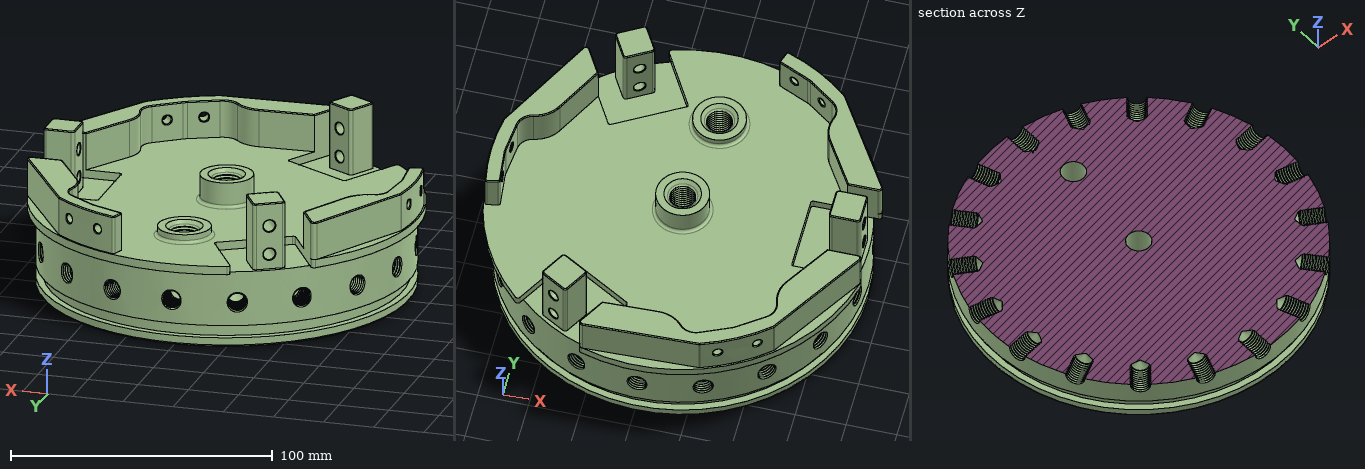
import cadquery as cq
import math

BODY_RADIUS = 145.97 / 2
GROOVE_RADIUS = 140.41 / 2
BASE_LIP_TOP = 3.81
GROOVE_TOP = 8.76
BODY_TOP = 30.56
BASE_CHAMFER = 0.9

FLANGE_RADIUS = 76.2
FLANGE_TOP = 33.86
SLOT_ANGLES = (0, 120, 240)
SLOT_HALF_WIDTH = 15.875
SLOT_INNER = 46.6
SLOT_CORNER_RADIUS = 1.0
FLANGE_CORNER_RADIUS = 1.2

POST_WIDTH = 12.7
POST_DEPTH = 12.4
POST_OUTER = 71.3
POST_TOP = 57.12
POST_CORNER_RADIUS = 1.27
POST_HOLE_DIAMETER = 4.57
POST_HOLE_MOUTH = 5.1
POST_HOLE_HEIGHTS = (36.5, 47.9)

SINGLE_WALL_ANGLES = (60, 180)
DOUBLE_WALL_ANGLE = -60
WALL_TOP = 48.86
WALL_OUTER_RADIUS = 75.5
WALL_FACET_APOTHEM = 69.3
WALL_FACET_ANGLE = 6
WALL_END_ANGLE = 2 * WALL_FACET_ANGLE
WALL_KINK_TO_SLOT = 60
WALL_FLAT_ANGLE = 28
WALL_FLAT_OUTER = 72.33
WALL_FLAT_INNER = 60.0
WALL_BEND_START = 3.1
WALL_CONVEX_RADIUS = 12.7
WALL_CONCAVE_RADIUS = 6.35
WALL_SHOULDER_RADIUS = 1.2
WALL_KINK_RADIUS = 8.0
WALL_END_RADIUS = 0.8
WALL_TIP_RADIUS = 1.45
WALL_HOLE_DIAMETER = 3.45
WALL_HOLE_MOUTH = 4.17
WALL_HOLE_HEIGHT = 42.3
EDGE_CHAMFER = 0.4

SIDE_HOLE_COUNT = 18
SIDE_HOLE_START = -90
SIDE_HOLE_HEIGHT = 18.2
SIDE_HOLE_MINOR = 6.91
SIDE_HOLE_MAJOR = 7.94
SIDE_HOLE_PITCH = 1.06
SIDE_HOLE_TURNS = 9
SIDE_HOLE_DEPTH = 10.4
DRILL_POINT_ANGLE = 118

BOSSES = ((0, 0, 10.16), (3.9, 42.9, 3.56))
BOSS_RADIUS = 20.62 / 2
BOSS_BASE_FILLET = 1.27
BORE_MINOR = 9.9
BORE_MAJOR = 11.53
BORE_PITCH = 1.27
BORE_TURNS = 12
BORE_MOUTH = 14.3

OVERRUN = 1.0


def polar(radius, degrees):
    angle = math.radians(degrees)
    return cq.Vector(radius * math.cos(angle), radius * math.sin(angle), 0)


def crossing(distance_a, angle_a, distance_b, angle_b):
    """Meeting point of two lines, each given by its distance from the axis and its normal's angle."""
    a = math.radians(angle_a)
    b = math.radians(angle_b)
    turn = math.sin(b - a)
    x = (distance_a * math.sin(b) - distance_b * math.sin(a)) / turn
    y = (distance_b * math.cos(a) - distance_a * math.cos(b)) / turn
    return cq.Vector(x, y, 0)


def turned(solid, angle):
    return solid.rotate((0, 0, 0), (0, 0, 1), angle)


def mirrored(point):
    return cq.Vector(point.x, -point.y, 0)


def plan(point):
    """The X and Y of a point."""
    return (point.x, point.y)


def cylinder(radius, bottom, top):
    return cq.Workplane("XY").workplane(offset=bottom).circle(radius).extrude(top - bottom)


def vertical_edges_near(solid, point):
    """The vertical edges of a solid that stand at the given point."""
    tolerance = 0.01
    low = (point.x - tolerance, point.y - tolerance, -OVERRUN)
    high = (point.x + tolerance, point.y + tolerance, POST_TOP + OVERRUN)
    return solid.edges("|Z").edges(cq.selectors.BoxSelector(low, high))


def threaded_cutter(minor, major, pitch, turns, mouth, bottom_points):
    """Cutter pointing down from z = 0: a tapered mouth, ring-shaped grooves, then the bottom points."""
    mouth_depth = (mouth - major) / 2
    points = [(0, OVERRUN), (mouth / 2, OVERRUN), (mouth / 2, 0)]
    if mouth_depth > 0:
        points.append((major / 2, -mouth_depth))
    for turn in range(turns):
        start = mouth_depth + turn * pitch
        points.append((minor / 2, -start - pitch / 2))
        points.append((major / 2, -start - pitch))
    thread_end = mouth_depth + turns * pitch
    points.append((minor / 2, -thread_end - pitch / 2))
    points.extend(bottom_points)
    return cq.Workplane("XZ").polyline(points).close().revolve(360, (0, 0, 0), (0, 1, 0))


def radial_hole(inner, outer, diameter, mouth):
    """Cutter along the +X axis for a through hole countersunk at both ends."""
    sink = (mouth - diameter) / 2
    flare = mouth / 2 + OVERRUN
    profile = [
        (inner - OVERRUN, 0),
        (inner - OVERRUN, flare),
        (inner + sink, diameter / 2),
        (outer - sink, diameter / 2),
        (outer + OVERRUN, flare),
        (outer + OVERRUN, 0),
    ]
    return cq.Workplane("XZ").polyline(profile).close().revolve(360, (0, 0, 0), (1, 0, 0))


def make_drum():
    drum = cylinder(BODY_RADIUS, 0, BODY_TOP).faces("<Z").chamfer(BASE_CHAMFER)
    groove = cylinder(BODY_RADIUS + OVERRUN, BASE_LIP_TOP, GROOVE_TOP)
    return drum.cut(groove.cut(cylinder(GROOVE_RADIUS, BASE_LIP_TOP, GROOVE_TOP)))


def make_flange():
    flange = cylinder(FLANGE_RADIUS, BODY_TOP, FLANGE_TOP)
    slot_length = FLANGE_RADIUS + OVERRUN - SLOT_INNER
    slot = (
        cq.Workplane("XY", origin=(SLOT_INNER + slot_length / 2, 0, BODY_TOP))
        .rect(slot_length, 2 * SLOT_HALF_WIDTH)
        .extrude(FLANGE_TOP - BODY_TOP)
        .edges("|Z and <X")
        .fillet(SLOT_CORNER_RADIUS)
    )
    for angle in SLOT_ANGLES:
        flange = flange.cut(turned(slot, angle))
    corner_angle = math.degrees(math.asin(SLOT_HALF_WIDTH / FLANGE_RADIUS))
    for angle in SLOT_ANGLES:
        for side in (-1, 1):
            corner = polar(FLANGE_RADIUS, angle + side * corner_angle)
            flange = vertical_edges_near(flange, corner).fillet(FLANGE_CORNER_RADIUS)
    return flange


def make_post():
    post = (
        cq.Workplane("XY", origin=(POST_OUTER - POST_DEPTH / 2, 0, BODY_TOP))
        .rect(POST_DEPTH, POST_WIDTH)
        .extrude(POST_TOP - BODY_TOP)
        .edges("|Z")
        .fillet(POST_CORNER_RADIUS)
        .faces(">Z")
        .chamfer(EDGE_CHAMFER)
    )
    for height in POST_HOLE_HEIGHTS:
        hole = radial_hole(POST_OUTER - POST_DEPTH, POST_OUTER, POST_HOLE_DIAMETER, POST_HOLE_MOUTH)
        post = post.cut(hole.translate((0, 0, height)))
    return post


def wall_side_corners():
    """Outline points of a wall's flat-sided half, clockwise of a kink that lies on the +X axis."""
    slot_face = (SLOT_HALF_WIDTH, 90 - WALL_KINK_TO_SLOT)
    shoulder_angle = math.degrees(math.acos(WALL_FLAT_OUTER / WALL_OUTER_RADIUS)) - WALL_FLAT_ANGLE
    shoulder = polar(WALL_OUTER_RADIUS, shoulder_angle)
    outer_tip = crossing(WALL_FLAT_OUTER, -WALL_FLAT_ANGLE, *slot_face)
    inner_tip = crossing(WALL_FLAT_INNER, -WALL_FLAT_ANGLE, *slot_face)

    flat_normal = polar(1, -WALL_FLAT_ANGLE)
    flat_direction = polar(1, 90 - WALL_FLAT_ANGLE)
    facet_normal = polar(1, -WALL_FACET_ANGLE)
    facet_direction = polar(1, 90 - WALL_FACET_ANGLE)
    convex_start = flat_normal * WALL_FLAT_INNER + flat_direction * WALL_BEND_START
    convex_centre = convex_start + flat_normal * WALL_CONVEX_RADIUS
    centre_distance = WALL_CONVEX_RADIUS + WALL_CONCAVE_RADIUS
    centre_drop = convex_centre.dot(facet_normal) - (WALL_FACET_APOTHEM - WALL_CONCAVE_RADIUS)
    centre_advance = math.sqrt(centre_distance**2 - centre_drop**2)
    concave_centre = convex_centre - facet_normal * centre_drop + facet_direction * centre_advance
    arcs_meet = convex_centre + (concave_centre - convex_centre) * (WALL_CONVEX_RADIUS / centre_distance)
    concave_end = concave_centre + facet_normal * WALL_CONCAVE_RADIUS

    return shoulder, outer_tip, inner_tip, convex_start, arcs_meet, concave_end


def make_wall(double):
    """A wall with its kink on the +X axis: flat-sided on both halves, or ending soon after the kink."""
    shoulder, outer_tip, inner_tip, convex_start, arcs_meet, concave_end = wall_side_corners()
    kink = polar(WALL_FACET_APOTHEM / math.cos(math.radians(WALL_FACET_ANGLE)), 0)
    end_inner = polar(kink.Length, WALL_END_ANGLE)
    end_outer = polar(WALL_OUTER_RADIUS, WALL_END_ANGLE)
    far_shoulder = mirrored(shoulder) if double else end_outer

    outline = (
        cq.Workplane("XY", origin=(0, 0, FLANGE_TOP))
        .moveTo(*plan(far_shoulder))
        .threePointArc((WALL_OUTER_RADIUS, 0), plan(shoulder))
        .lineTo(*plan(outer_tip))
        .lineTo(*plan(inner_tip))
        .lineTo(*plan(convex_start))
        .tangentArcPoint(plan(arcs_meet), relative=False)
        .tangentArcPoint(plan(concave_end), relative=False)
        .lineTo(*plan(kink))
    )
    rounds = [(kink, WALL_KINK_RADIUS), (outer_tip, WALL_TIP_RADIUS), (shoulder, WALL_SHOULDER_RADIUS)]
    if double:
        outline = (
            outline.lineTo(*plan(mirrored(concave_end)))
            .tangentArcPoint(plan(mirrored(arcs_meet)), relative=False)
            .tangentArcPoint(plan(mirrored(convex_start)), relative=False)
            .lineTo(*plan(mirrored(inner_tip)))
            .lineTo(*plan(mirrored(outer_tip)))
        )
        rounds += [(mirrored(outer_tip), WALL_TIP_RADIUS), (mirrored(shoulder), WALL_SHOULDER_RADIUS)]
    else:
        outline = outline.lineTo(*plan(end_inner))
        rounds += [(end_inner, WALL_END_RADIUS), (end_outer, WALL_END_RADIUS)]

    wall = outline.close().extrude(WALL_TOP - FLANGE_TOP)
    hole = radial_hole(WALL_FACET_APOTHEM, WALL_OUTER_RADIUS, WALL_HOLE_DIAMETER, WALL_HOLE_MOUTH)
    hole = hole.translate((0, 0, WALL_HOLE_HEIGHT))
    for angle in (-WALL_FACET_ANGLE, WALL_FACET_ANGLE):
        wall = wall.cut(turned(hole, angle))
    for corner, radius in rounds:
        wall = vertical_edges_near(wall, corner).fillet(radius)
    return wall.faces(">Z").chamfer(EDGE_CHAMFER)


def make_boss(x, y, height):
    top = FLANGE_TOP + height
    boss = cylinder(BOSS_RADIUS, FLANGE_TOP, top)
    collar = cylinder(BOSS_RADIUS + BOSS_BASE_FILLET, FLANGE_TOP, FLANGE_TOP + BOSS_BASE_FILLET)
    cove = cq.Solid.makeTorus(
        BOSS_RADIUS + BOSS_BASE_FILLET,
        BOSS_BASE_FILLET,
        cq.Vector(0, 0, FLANGE_TOP + BOSS_BASE_FILLET),
    )
    return boss.union(collar.cut(cq.Workplane(cove))).translate((x, y, 0))


def make_bore(x, y, height):
    top = FLANGE_TOP + height
    bottom_points = [(BORE_MINOR / 2, -top - OVERRUN), (0, -top - OVERRUN)]
    cutter = threaded_cutter(BORE_MINOR, BORE_MAJOR, BORE_PITCH, BORE_TURNS, BORE_MOUTH, bottom_points)
    return cutter.translate((x, y, top))


def make_side_hole():
    """Radial threaded blind hole in the drum's side on the +X axis."""
    point_length = SIDE_HOLE_MINOR / 2 / math.tan(math.radians(DRILL_POINT_ANGLE / 2))
    bottom_points = [(SIDE_HOLE_MINOR / 2, -SIDE_HOLE_DEPTH), (0, -SIDE_HOLE_DEPTH - point_length)]
    cutter = threaded_cutter(
        SIDE_HOLE_MINOR, SIDE_HOLE_MAJOR, SIDE_HOLE_PITCH, SIDE_HOLE_TURNS, SIDE_HOLE_MAJOR, bottom_points
    )
    return cutter.rotate((0, 0, 0), (0, 1, 0), 90).translate((BODY_RADIUS, 0, SIDE_HOLE_HEIGHT))


drum = make_drum()
side_hole = make_side_hole()
for index in range(SIDE_HOLE_COUNT):
    drum = drum.cut(turned(side_hole, SIDE_HOLE_START + index * 360 / SIDE_HOLE_COUNT))

part = drum.union(make_flange())

post = make_post()
for slot_angle in SLOT_ANGLES:
    part = part.union(turned(post, slot_angle))

single_wall = make_wall(double=False)
for wall_angle in SINGLE_WALL_ANGLES:
    part = part.union(turned(single_wall, wall_angle))
part = part.union(turned(make_wall(double=True), DOUBLE_WALL_ANGLE))

for boss in BOSSES:
    part = part.union(make_boss(*boss)).cut(make_bore(*boss))

result = part